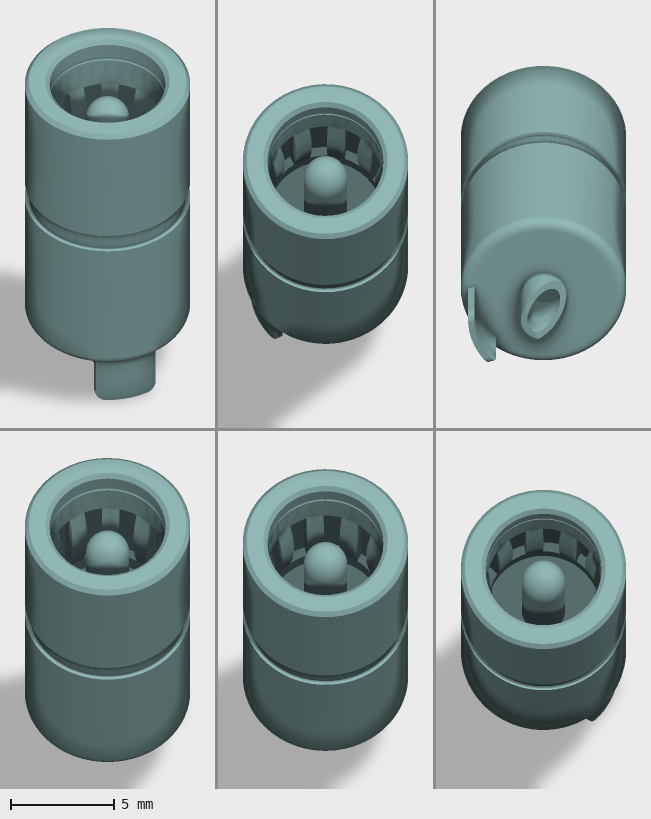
import cadquery as cq
import math


housing_radius = 4.0
housing_height = 15.0
bottom_fillet = 0.5
rim_chamfer = 0.2
mouth_radius = 2.8
lip_thickness = 1.0
floor_thickness = 1.0
ring_groove_radius = 3.8
ring_groove_width = 1.0
ring_groove_top = housing_height - 6.5

sleeve_radius = 3.65
sleeve_gap = 0.2
sleeve_top = housing_height - lip_thickness - sleeve_gap
entry_length = 1.5
strip_root_radius = 2.75
strip_contact_radius = 2.5
strip_length = 4.0
strip_width = 0.83
strip_count = 10
slot_radius = 3.2
strip_top = sleeve_top - entry_length
strip_bottom = strip_top - strip_length

terminal_length = 2.6
tail_thickness = 0.3
tail_inner_radius = sleeve_radius - tail_thickness
tail_width = 3.0
tail_length = 2.55
tail_corner_radius = 0.45

insulator_radius = strip_root_radius
insulator_top = 7.5

pin_radius = 1.05
pin_tip = 13.65
shoulder_radius = 1.25
shoulder_length = 3.0
solder_leg_radius = 1.1
solder_cup_radius = 0.8
solder_cup_depth = 3.0
scarf_top = -0.1
scarf_end_x = 0.63


def cylinder(radius, bottom, top):
    return cq.Workplane("XY").workplane(offset=bottom).circle(radius).extrude(top - bottom)


def make_tail(top):
    """Curved solder tail on the +X side, hanging below the housing."""
    height = top + tail_length
    ring = cylinder(sleeve_radius, -tail_length, top).cut(cylinder(tail_inner_radius, -tail_length, top))
    blade = (
        cq.Workplane("XY")
        .box(sleeve_radius, tail_width, height, centered=(False, True, False))
        .edges("|X and <Z")
        .fillet(tail_corner_radius)
        .translate((0, 0, -tail_length))
    )
    return ring.intersect(blade)


def make_housing():
    shell = cylinder(housing_radius, 0, housing_height)
    shell = shell.faces(">Z").edges().chamfer(rim_chamfer)
    shell = shell.faces("<Z").edges().fillet(bottom_fillet)

    groove_bottom = ring_groove_top - ring_groove_width
    groove = cylinder(housing_radius, groove_bottom, ring_groove_top)
    groove = groove.cut(cylinder(ring_groove_radius, groove_bottom, ring_groove_top))

    lip_bottom = housing_height - lip_thickness
    cavity = cylinder(sleeve_radius, floor_thickness, lip_bottom)
    mouth = cylinder(mouth_radius, lip_bottom, housing_height)
    floor_hole = cylinder(insulator_radius, 0, floor_thickness)
    shell = shell.cut(groove).cut(cavity).cut(mouth).cut(floor_hole).cut(make_tail(floor_thickness))
    return shell.faces(">Z").edges(cq.selectors.RadiusNthSelector(0)).chamfer(rim_chamfer)


def make_sleeve():
    body = (
        cq.Workplane("XZ")
        .moveTo(sleeve_radius, floor_thickness)
        .lineTo(sleeve_radius, sleeve_top)
        .lineTo(mouth_radius, sleeve_top)
        .lineTo(strip_root_radius, strip_top)
        .threePointArc(
            (strip_contact_radius, (strip_top + strip_bottom) / 2),
            (strip_root_radius, strip_bottom),
        )
        .lineTo(strip_root_radius, floor_thickness)
        .close()
        .revolve(360, (0, 0, 0), (0, 1, 0))
    )
    slots = cylinder(slot_radius, strip_bottom, strip_top)
    for index in range(strip_count // 2):
        strip_pair = (
            cq.Workplane("XY")
            .box(strip_width, 2 * housing_radius, strip_length, centered=(True, True, False))
            .translate((0, 0, strip_bottom))
            .rotate((0, 0, 0), (0, 0, 1), index * 360 / strip_count)
        )
        slots = slots.cut(strip_pair)
    return body.cut(slots).union(make_tail(floor_thickness))


def make_insulator():
    shoulder_bottom = insulator_top - shoulder_length
    body = cylinder(insulator_radius, 0, insulator_top)
    body = body.cut(cylinder(shoulder_radius, shoulder_bottom, insulator_top))
    return body.cut(cylinder(solder_leg_radius, 0, shoulder_bottom))


def make_pin():
    dome_centre = pin_tip - pin_radius
    shoulder_bottom = insulator_top - shoulder_length
    dome_middle = pin_radius * math.sqrt(0.5)
    body = (
        cq.Workplane("XZ")
        .moveTo(0, -terminal_length)
        .lineTo(solder_leg_radius, -terminal_length)
        .lineTo(solder_leg_radius, shoulder_bottom)
        .lineTo(shoulder_radius, shoulder_bottom)
        .lineTo(shoulder_radius, insulator_top)
        .lineTo(pin_radius, insulator_top)
        .lineTo(pin_radius, dome_centre)
        .threePointArc((dome_middle, dome_centre + dome_middle), (0, pin_tip))
        .close()
        .revolve(360, (0, 0, 0), (0, 1, 0))
    )
    cup = cylinder(solder_cup_radius, -terminal_length, solder_cup_depth - terminal_length)
    scarf = (
        cq.Workplane("XZ")
        .moveTo(-solder_leg_radius, scarf_top)
        .lineTo(scarf_end_x, -terminal_length)
        .lineTo(-solder_leg_radius, -terminal_length)
        .close()
        .extrude(solder_leg_radius, both=True)
    )
    return body.cut(cup).cut(scarf)


housing = make_housing()
sleeve = make_sleeve()
insulator = make_insulator()
pin = make_pin()

result = cq.Compound.makeCompound([body.solids().val() for body in (housing, sleeve, insulator, pin)])